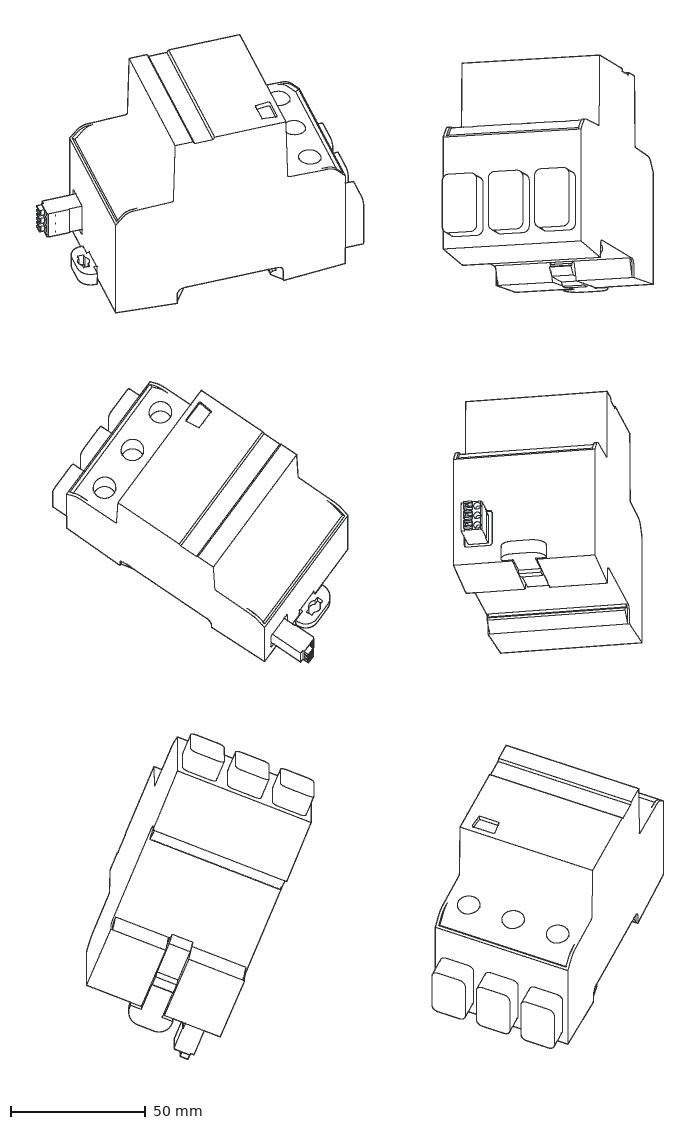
import cadquery as cq
import math


width = 53.7
total_length = 113.2
terminal_length = 7.9
plug_length = 15.2
depth = total_length - terminal_length - plug_length
height = 76.4
mid_y = depth / 2
front_bottom_z = 1.8

tower_top_half = 21.7
tower_foot_half = 22.4
shoulder_z = 49.6
shoulder_foot_radius = 0.7
bevel_bottom_z = 44.1
bevel_top_y = 2.8
bevel_top_z = 47.2
shoulder_edge_y = 6.5
shoulder_edge_z = 49.1
shoulder_arc_y = 4.5
shoulder_arc_z = 48.6

notch_half = 20.8
notch_z = 6.9
notch_radius = 2.5
cheek = 0.7
hook_width = width - 2 * cheek
hook_reach = 4.9
hook_root_run = 2.8
hook_nose_bottom_z = 3.6
hook_nose_top_z = 4.5
hook_nose_chamfer = 0.8
hook_top_z = 5.2
ramp_run = 3.0

recess_width = 51.4
recess_depth = 1.5
lip_y = 0.7
recess_end_y = 8.7

groove_front_y = 30.3
groove_back_y = 38.8
groove_depth = 1.0
groove_wall_run = 0.7
marker_x = 18.3
marker_front_y = 59.0
marker_back_y = 64.8
marker_front_half = 4.0
marker_back_half = 4.6
marker_radius = 0.7
marker_depth = 1.9

pole_pitch = 18.0
pole_xs = [-pole_pitch, 0, pole_pitch]
terminal_width = 13.5
terminal_bottom_z = 6.2
terminal_top_z = 28.4
terminal_radius = 2.5
screw_y = 79.1
screw_diameter = 8.4
screw_floor_z = 37.4

slider_x = 0.2
slider_width = 8.4
slider_channel_width = 9.3
slider_bottom_z = front_bottom_z
slider_height = notch_z - slider_bottom_z
claw_root_run = 2.4
claw_reach = 5.3
claw_tip_z = 4.8
claw_neck_run = 3.8
claw_top_z = 5.3
claw_neck_z = 6.0
bump_start_y = 9.5
bump_end_y = 14.7
bump_flat_start_y = 9.7
bump_flat_end_y = 13.1
bump_z = 0.5
handle_width = 17.0
handle_back_y = -1.0
handle_front_y = -7.1
handle_radius = 5.2
keyhole_y = -3.6
keyhole_diameter = 4.4
keyhole_slot_width = 6.9
keyhole_slot_height = 2.4
keyhole_depth = 4.5

socket_x = -17.4
socket_z = 15.7
socket_width = 10.5
socket_height = 14.0
socket_radius = 1.0
socket_depth = 1.1
plug_left_x = -21.4
plug_right_x = -13.8
plug_height = 11.2
plug_front_y = -12.6
plug_flange_y = -4.4
plug_flange = 0.3
plug_face_left_x = -20.0
plug_face_y = -13.2
plug_chamfer = 0.5
contact_pitch = 3.8
button_left_x = plug_face_left_x
button_width = 3.2
button_height = 2.6
button_front_y = -plug_length
button_slot_height = 1.4
button_slot_depth = 0.6
button_pin_x = -18.9
button_pin_size = 1.0
wire_hole_x = -15.2
wire_hole_diameter = 2.6
wire_hole_depth = 3.4


def box(x_min, x_max, y_min, y_max, z_min, z_max):
    """Box between the given limits."""
    return cq.Workplane("XY").box(
        x_max - x_min, y_max - y_min, z_max - z_min, centered=False
    ).translate((x_min, y_min, z_min))


def extrude_across(profile, span):
    """Extrude a YZ profile symmetrically across X."""
    return profile.close().extrude(span / 2, both=True)


def mirror_front_to_back(shape):
    return shape.mirror("XZ", (0, mid_y, 0))


def half_housing():
    """Front half of the housing, up to the middle plane."""
    notch_y = mid_y - notch_half
    corner_offset = notch_radius * (1 - math.sqrt(0.5))
    profile = (
        cq.Workplane("YZ")
        .moveTo(0, front_bottom_z)
        .lineTo(0, bevel_bottom_z)
        .lineTo(bevel_top_y, bevel_top_z)
        .threePointArc((shoulder_arc_y, shoulder_arc_z), (shoulder_edge_y, shoulder_edge_z))
        .lineTo(mid_y - tower_foot_half, shoulder_z)
        .lineTo(mid_y - tower_top_half, height)
        .lineTo(mid_y, height)
        .lineTo(mid_y, notch_z)
        .lineTo(notch_y + notch_radius, notch_z)
        .threePointArc(
            (notch_y + corner_offset, notch_z - corner_offset),
            (notch_y, notch_z - notch_radius),
        )
        .lineTo(notch_y, 0)
    )
    half = extrude_across(profile, width)
    foot_y = mid_y - tower_foot_half
    foot_edge = cq.selectors.NearestToPointSelector((0, foot_y, shoulder_z))
    return half.edges(foot_edge).fillet(shoulder_foot_radius)


def label_recess():
    """Cutter for the recess along the front bevel.

    The floor is parallel to the bevel and runs out in an arc tangent to the shoulder.
    """
    bevel_slope = (bevel_top_z - bevel_bottom_z) / bevel_top_y
    bevel_angle = math.atan(bevel_slope)
    lip_z = bevel_bottom_z + lip_y * bevel_slope
    floor_y = lip_y + recess_depth * math.sin(bevel_angle)
    floor_z = lip_z - recess_depth * math.cos(bevel_angle)

    shoulder_slope = (shoulder_z - shoulder_edge_z) / (mid_y - tower_foot_half - shoulder_edge_y)
    recess_end_z = shoulder_edge_z + (recess_end_y - shoulder_edge_y) * shoulder_slope

    floor_at_end_z = floor_z + (recess_end_y - floor_y) * bevel_slope
    crossing_y = recess_end_y - (floor_at_end_z - recess_end_z) / (bevel_slope - shoulder_slope)
    crossing_z = floor_z + (crossing_y - floor_y) * bevel_slope
    tangent_length = math.hypot(recess_end_y - crossing_y, recess_end_z - crossing_z)
    floor_end_y = crossing_y - tangent_length * math.cos(bevel_angle)
    floor_end_z = crossing_z - tangent_length * math.sin(bevel_angle)

    profile = (
        cq.Workplane("YZ")
        .moveTo(lip_y, lip_z)
        .lineTo(floor_y, floor_z)
        .lineTo(floor_end_y, floor_end_z)
        .tangentArcPoint((recess_end_y, recess_end_z), relative=False)
        .lineTo(recess_end_y, shoulder_z)
        .lineTo(lip_y, shoulder_z)
    )
    return extrude_across(profile, recess_width)


def tower_groove():
    """Cutter for the groove with sloped walls across the tower top."""
    floor_z = height - groove_depth
    profile = (
        cq.Workplane("YZ")
        .moveTo(groove_front_y, height)
        .lineTo(groove_front_y + groove_wall_run, floor_z)
        .lineTo(groove_back_y - groove_wall_run, floor_z)
        .lineTo(groove_back_y, height)
    )
    return extrude_across(profile, width)


def marker_pocket():
    pocket = (
        cq.Workplane("XY", origin=(marker_x, 0, height))
        .moveTo(-marker_front_half, marker_front_y)
        .lineTo(marker_front_half, marker_front_y)
        .lineTo(marker_back_half, marker_back_y)
        .lineTo(-marker_back_half, marker_back_y)
        .close()
        .extrude(-marker_depth)
    )
    return pocket.edges("|Z and >Y").fillet(marker_radius)


def screw_holes():
    return (
        cq.Workplane("XY", origin=(0, screw_y, screw_floor_z))
        .pushPoints([(x, 0) for x in pole_xs])
        .circle(screw_diameter / 2)
        .extrude(height - screw_floor_z)
    )


def terminals():
    """Rounded blocks on the back face, one for each pole."""
    mid_z = (terminal_bottom_z + terminal_top_z) / 2
    return (
        cq.Workplane("XZ", origin=(0, depth, mid_z))
        .pushPoints([(x, 0) for x in pole_xs])
        .rect(terminal_width, terminal_top_z - terminal_bottom_z)
        .extrude(-terminal_length)
        .edges("|Y")
        .fillet(terminal_radius)
    )


def fixed_hook():
    """Rail hook at the back of the notch."""
    wall_y = mid_y + notch_half
    root_y = wall_y - hook_root_run
    profile = (
        cq.Workplane("YZ")
        .moveTo(wall_y, 0)
        .lineTo(wall_y - hook_reach, hook_nose_bottom_z)
        .lineTo(wall_y - hook_reach, hook_nose_top_z)
        .lineTo(wall_y - hook_reach + hook_nose_chamfer, hook_top_z)
        .lineTo(root_y, hook_top_z)
        .lineTo(root_y, notch_z)
        .lineTo(wall_y, notch_z)
    )
    return extrude_across(profile, hook_width)


def notch_ramp():
    """Sloped filling between the cheeks at the front of the notch."""
    wall_y = mid_y - notch_half
    profile = (
        cq.Workplane("YZ")
        .moveTo(wall_y, 0)
        .lineTo(wall_y + ramp_run, notch_z)
        .lineTo(wall_y, notch_z)
    )
    return extrude_across(profile, hook_width)


def slider_channel():
    channel_end_y = mid_y - notch_half + ramp_run
    half = slider_channel_width / 2
    return box(slider_x - half, slider_x + half, 0, channel_end_y, 0, notch_z)


def slider_bar():
    """Sliding bar with its rail claw and the stop bump underneath."""
    wall_y = mid_y - notch_half
    profile = (
        cq.Workplane("YZ")
        .moveTo(handle_back_y, slider_bottom_z)
        .lineTo(bump_start_y, slider_bottom_z)
        .lineTo(bump_flat_start_y, bump_z)
        .lineTo(bump_flat_end_y, bump_z)
        .lineTo(bump_end_y, slider_bottom_z)
        .lineTo(wall_y + claw_root_run, slider_bottom_z)
        .lineTo(wall_y + claw_reach, claw_tip_z)
        .lineTo(wall_y + claw_neck_run, claw_top_z)
        .lineTo(wall_y + claw_neck_run, claw_neck_z)
        .lineTo(wall_y + ramp_run, notch_z)
        .lineTo(handle_back_y, notch_z)
    )
    return extrude_across(profile, slider_width).translate((slider_x, 0, 0))


def slider_handle():
    """Finger plate of the slider with a blind keyhole in its top."""
    plate = (
        cq.Workplane("XY", origin=(slider_x, (handle_back_y + handle_front_y) / 2, slider_bottom_z))
        .rect(handle_width, handle_back_y - handle_front_y)
        .extrude(slider_height)
        .edges("|Z and <Y")
        .fillet(handle_radius)
    )
    keyhole = cq.Workplane("XY", origin=(slider_x, keyhole_y, notch_z))
    plate = plate.cut(keyhole.circle(keyhole_diameter / 2).extrude(-keyhole_depth))
    return plate.cut(keyhole.rect(keyhole_slot_width, keyhole_slot_height).extrude(-keyhole_depth))


def socket():
    """Cutter for the pocket around the plug."""
    return (
        cq.Workplane("XZ", origin=(socket_x, 0, socket_z))
        .rect(socket_width, socket_height)
        .extrude(-socket_depth)
        .edges("|Y")
        .fillet(socket_radius)
    )


def plug():
    """Plug body with three wire holes, each beside a slotted release button."""
    bottom_z = socket_z - plug_height / 2
    outline = (
        cq.Workplane("XY", origin=(0, 0, bottom_z))
        .moveTo(plug_left_x, socket_depth)
        .lineTo(plug_left_x, plug_front_y)
        .lineTo(plug_face_left_x, plug_front_y)
        .lineTo(plug_face_left_x, plug_face_y)
        .lineTo(plug_right_x + plug_flange - plug_chamfer, plug_face_y)
        .lineTo(plug_right_x + plug_flange, plug_face_y + plug_chamfer)
        .lineTo(plug_right_x + plug_flange, plug_flange_y)
        .lineTo(plug_right_x, plug_flange_y)
        .lineTo(plug_right_x, socket_depth)
        .close()
    )
    body = outline.extrude(plug_height)

    for row in (-1, 0, 1):
        z = socket_z + row * contact_pitch
        button = box(
            button_left_x, button_left_x + button_width,
            button_front_y, plug_face_y,
            z - button_height / 2, z + button_height / 2,
        )
        slot_floor_y = button_front_y + button_slot_depth
        slot = box(
            button_left_x, button_left_x + button_width,
            button_front_y, slot_floor_y,
            z - button_slot_height / 2, z + button_slot_height / 2,
        )
        pin_half = button_pin_size / 2
        pin_hole = box(
            button_pin_x - pin_half, button_pin_x + pin_half,
            slot_floor_y, slot_floor_y + button_slot_depth,
            z - pin_half, z + pin_half,
        )
        wire_hole = (
            cq.Workplane("XZ", origin=(wire_hole_x, plug_face_y, z))
            .circle(wire_hole_diameter / 2)
            .extrude(-wire_hole_depth)
        )
        body = body.union(button).cut(slot).cut(pin_hole).cut(wire_hole)
    return body


front_half = half_housing()
housing = front_half.union(mirror_front_to_back(front_half))
housing = housing.union(fixed_hook()).union(notch_ramp())

recess = label_recess()
for cutter in (
    recess,
    mirror_front_to_back(recess),
    tower_groove(),
    marker_pocket(),
    screw_holes(),
    slider_channel(),
    socket(),
):
    housing = housing.cut(cutter)

for added in (terminals(), slider_bar(), slider_handle(), plug()):
    housing = housing.union(added)

result = housing